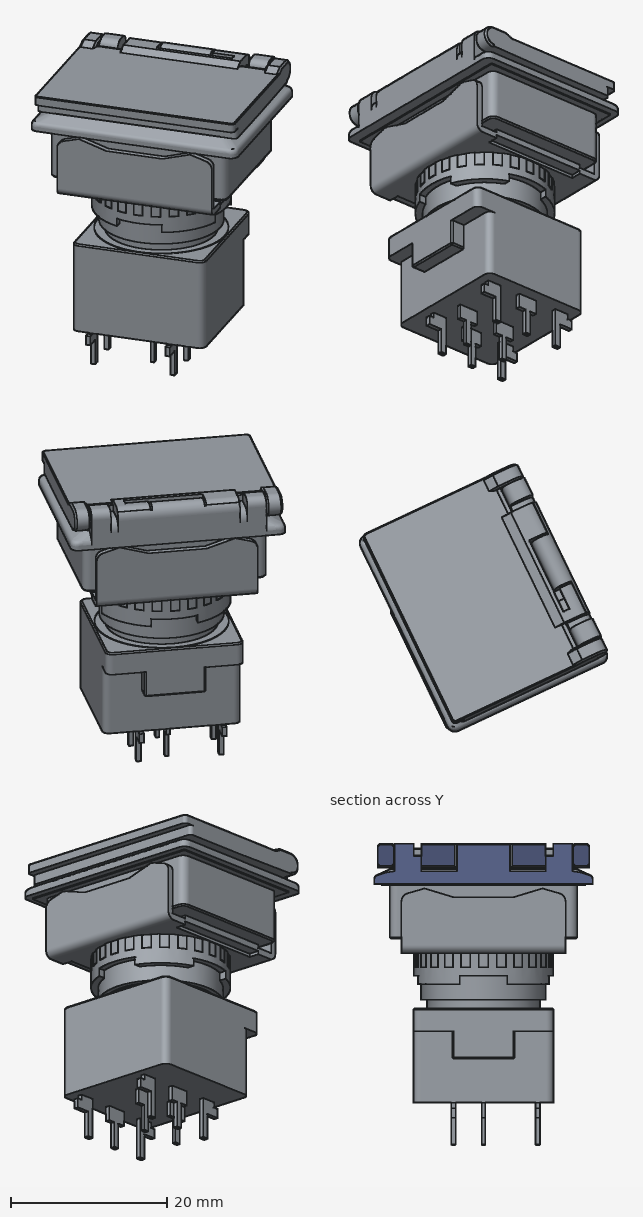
import cadquery as cq


BEZEL_X = 28.0
BEZEL_FRONT = -11.0
BEZEL_BACK = 11.5
BEZEL_CORNER = 1.0
BEZEL_EDGE = 1.0
BEZEL_TOP = 1.95
BEZEL_EDGE_ROUND = 0.6
SLOPE_INSET = 2.1
SLOPE_INSET_BACK = 1.4
GASKET_X = 26.0
GASKET_Y = 20.0
GASKET_THICK = 0.15
HEAD_X = 24.0
HEAD_Y = 18.0
HEAD_DEPTH = 7.0
HEAD_CORNER = 1.0
HEAD_EDGE = 0.2

HINGE_Y = 10.0
HINGE_Z = 3.7
HINGE_R = BEZEL_BACK - HINGE_Y
SIDE_KNUCKLE_IN = 8.9
SIDE_KNUCKLE_OUT = 11.4
MID_KNUCKLE_HALF = 3.4
SIDE_ROUND = 1.1
SIDE_FRONT = 8.3
MID_ROUND = 1.25
MID_FRONT = 8.7
BACK_WALL_THICK = 0.45
HINGE_FOOT = 0.5
HINGE_GAP = 0.05

COVER_X = 27.1
COVER_FRONT = -10.45
COVER_TOP = 4.6
COVER_LIP_Z = 3.4
COVER_LIP = 1.05
COVER_BOTTOM = 2.1
COVER_CORNER = 0.5
COVER_CHAMFER = 0.12
COVER_R = HINGE_R - HINGE_GAP
RAISED_FLAT_Y = 7.9
RAISED_FOOT_Y = 6.6
COVER_MID_HALF = 7.95
KNUCKLE_CHAMFER = 0.25
SIDE_OPENING_Y = 8.1
OPENING_STEP_Y = 7.55
OPENING_STEP_DEPTH = 0.15
MID_OPENING_HALF = 3.65
MID_OPENING_Y = HINGE_Y - HINGE_R - HINGE_GAP
LATCH_END = 6.6
LATCH_STEP = 5.0
LATCH_WIDTH = 0.85
LATCH_SHALLOW = 0.7
LATCH_DEEP = 0.8

BARREL_R = 8.0
COLLAR_R = 8.2
COLLAR_HEIGHT = 0.4
STEM_R = 7.25
BARREL_BOTTOM = -14.8
NUT_R = 8.93
NUT_SLOT_FLOOR_R = 8.85
NUT_TOP = -8.85
NUT_SLOT_BOTTOM = -10.65
KEY_NOTCH_TOP = -11.75
NUT_BOTTOM = -12.8
NUT_SLOTS = 24
NUT_SLOT_WIDTH = 1.2
KEY_NOTCHES = 4
KEY_NOTCH_WIDTH = 6.1

BRACKET_X = 21.0
BRACKET_Y = 20.6
SHEET = 0.85
BEND_R = 1.0
LEG_PEAK_X = 7.55
LEG_PEAK_Z = -0.55
LEG_DIP_X = 3.8
LEG_DIP_Z = -1.68
LEG_SHOULDER_Z = -1.4
LEG_CORNER = 1.1
TAB_Y = 14.0
TAB_X = 1.5
TAB_RISE = 0.45

BLOCK_SIDE = 17.95
BLOCK_TOP = -15.85
BLOCK_BOTTOM = -27.95
BLOCK_CORNER = 0.9
BLOCK_EDGE = 0.2
SEAT_R = 8.6
SEAT_DEPTH = 0.1
LEDGE_Z = -18.85
LEDGE_Y = 6.95
HOOK_BOTTOM = -22.35
HOOK_X = 8.0
HOOK_CHAMFER = 0.2

PIN_TIP = -33.4
PIN_SHOULDER = -29.9
PIN_EAR = -28.65
EAR = 0.7
SIDE_PIN_THICK = 0.6
MID_PIN_THICK = 0.5
LEFT_PIN_X = -6.95
RIGHT_PIN_X = 3.85
PIN_TIP_CHAMFER = 0.12
SIDE_PINS = [
    ((3.5, 5.6), (3.5, 4.35), EAR, 0),
    ((-2.4, 0.4), (-1.45, -0.7), 0, 0),
    ((-7.75, -5.65), (-6.5, -5.65), 0, EAR),
]
MID_PINS = [
    ((1.55, 4.35), (2.55, 3.4), 0, 0),
    ((-4.5, -1.7), (-3.4, -2.65), 0, 0),
]

PICK_BAND = 0.05


def box(x0, x1, y0, y1, z0, z1):
    return cq.Workplane("XY").box(x1 - x0, y1 - y0, z1 - z0, centered=False).translate((x0, y0, z0))


def disc(radius, z0, z1):
    return cq.Workplane("XY").workplane(offset=z0).circle(radius).extrude(z1 - z0)


def rounded_block(x_size, y_size, z0, z1, corner):
    block = cq.Workplane("XY").workplane(offset=z0).rect(x_size, y_size).extrude(z1 - z0)
    return block.edges("|Z").fillet(corner)


def hinge_cylinder(radius, x0, x1):
    return cq.Workplane("YZ").workplane(offset=x0).center(HINGE_Y, HINGE_Z).circle(radius).extrude(x1 - x0)


def height_band(z):
    """Selector for the edges centred at height z."""
    reach = BEZEL_X
    return cq.selectors.BoxSelector((-reach, -reach, z - PICK_BAND), (reach, reach, z + PICK_BAND))


def make_bezel():
    depth = BEZEL_BACK - BEZEL_FRONT
    mid_y = (BEZEL_BACK + BEZEL_FRONT) / 2
    rim = rounded_block(BEZEL_X, depth, 0, BEZEL_EDGE, BEZEL_CORNER).translate((0, mid_y, 0))
    top_y = depth - SLOPE_INSET - SLOPE_INSET_BACK
    top_shift = (SLOPE_INSET - SLOPE_INSET_BACK) / 2
    lower = cq.Sketch().rect(BEZEL_X, depth).vertices().fillet(BEZEL_CORNER)
    upper = cq.Sketch().rect(BEZEL_X - 2 * SLOPE_INSET, top_y).vertices().fillet(BEZEL_CORNER)
    border = (
        cq.Workplane("XY")
        .placeSketch(
            lower.moved(cq.Location(cq.Vector(0, mid_y, BEZEL_EDGE))),
            upper.moved(cq.Location(cq.Vector(0, mid_y + top_shift, BEZEL_TOP))),
        )
        .loft(ruled=True)
    )
    bezel = rim.union(border)
    return bezel.edges(height_band(BEZEL_EDGE)).fillet(BEZEL_EDGE_ROUND)


def frame_post(x0, x1, top, back_round, front_round, front_y):
    """Post at the back of the bezel with a rounded back and, if asked for, a rounded front."""
    post = box(x0, x1, front_y, BEZEL_BACK, HINGE_FOOT, top)
    post = post.edges("|X and >Z and >Y").fillet(back_round)
    if front_round > 0:
        post = post.edges("|X and >Z and <Y").fillet(front_round)
    return post


def make_frame_hinge():
    top = HINGE_Z + HINGE_R
    wall_y = BEZEL_BACK - BACK_WALL_THICK
    wall_span = (-COVER_MID_HALF, COVER_MID_HALF)
    wall = box(*wall_span, wall_y, BEZEL_BACK, HINGE_FOOT, HINGE_Z)
    wall_cap = box(*wall_span, wall_y, BEZEL_BACK, HINGE_Z, top)
    hinge = wall.union(wall_cap.intersect(hinge_cylinder(HINGE_R, *wall_span)))
    middle = frame_post(-MID_KNUCKLE_HALF, MID_KNUCKLE_HALF, top, HINGE_R, MID_ROUND, MID_FRONT)
    hinge = hinge.union(middle)
    side = frame_post(SIDE_KNUCKLE_IN, SIDE_KNUCKLE_OUT, top, SIDE_ROUND, SIDE_ROUND, SIDE_FRONT)
    low_link = frame_post(COVER_MID_HALF, SIDE_KNUCKLE_IN, HINGE_Z, HINGE_R, 0, SIDE_FRONT)
    for post in (side, low_link):
        hinge = hinge.union(post).union(post.mirror("YZ"))
    return hinge


def make_head():
    head = rounded_block(HEAD_X, HEAD_Y, -HEAD_DEPTH, 0, HEAD_CORNER)
    head = head.faces("<Z").edges().chamfer(HEAD_EDGE)
    gasket = box(-GASKET_X / 2, GASKET_X / 2, -GASKET_Y / 2, GASKET_Y / 2, -GASKET_THICK, 0)
    return head.union(gasket)


def make_barrel():
    collar_bottom = -HEAD_DEPTH - COLLAR_HEIGHT
    half_profile = [
        (0, -HEAD_DEPTH),
        (COLLAR_R, -HEAD_DEPTH),
        (BARREL_R, collar_bottom),
        (BARREL_R, BARREL_BOTTOM),
        (STEM_R, BARREL_BOTTOM),
        (STEM_R, BLOCK_TOP - SEAT_DEPTH),
        (0, BLOCK_TOP - SEAT_DEPTH),
    ]
    return cq.Workplane("XZ").polyline(half_profile).close().revolve(360, (0, 0, 0), (0, 1, 0))


def make_block():
    half = BLOCK_SIDE / 2
    upper = rounded_block(BLOCK_SIDE, BLOCK_SIDE, LEDGE_Z, BLOCK_TOP, BLOCK_CORNER)
    upper = upper.faces(">Z").edges().chamfer(BLOCK_EDGE)
    lower_y = LEDGE_Y + half
    lower = rounded_block(BLOCK_SIDE, lower_y, BLOCK_BOTTOM, LEDGE_Z, BLOCK_CORNER)
    block = upper.union(lower.translate((0, (LEDGE_Y - half) / 2, 0)))
    hook = box(-HOOK_X / 2, HOOK_X / 2, LEDGE_Y, half, HOOK_BOTTOM, LEDGE_Z)
    hook = hook.edges("(>Y or <Z) and (not >Z) and (not <Y)").chamfer(HOOK_CHAMFER)
    block = block.union(hook)
    return block.cut(disc(SEAT_R, BLOCK_TOP - SEAT_DEPTH, BLOCK_TOP))


def make_pin(x, thick, neck, leg, back_ear, front_ear):
    """Flat terminal: a neck, a shoulder widened by the ears, and a narrow leg."""
    x0 = x - thick / 2
    x1 = x + thick / 2
    pin = box(x0, x1, *neck, PIN_SHOULDER, BLOCK_BOTTOM)
    shoulder = box(x0, x1, neck[0] - front_ear, neck[1] + back_ear, PIN_SHOULDER, PIN_EAR)
    blade = box(x0, x1, *leg, PIN_TIP, PIN_SHOULDER).faces("<Z").edges().chamfer(PIN_TIP_CHAMFER)
    return pin.union(shoulder).union(blade)


def make_pins():
    pins = []
    for x in (LEFT_PIN_X, RIGHT_PIN_X):
        for shape in SIDE_PINS:
            pins.append(make_pin(x, SIDE_PIN_THICK, *shape))
    for shape in MID_PINS:
        pins.append(make_pin(0, MID_PIN_THICK, *shape))
    return pins


def make_switch_body():
    body = make_bezel().union(make_frame_hinge()).union(make_head())
    body = body.union(make_barrel()).union(make_block())
    for pin in make_pins():
        body = body.union(pin)
    return body


def make_cover_plate():
    side_profile = [
        (COVER_FRONT, COVER_LIP_Z),
        (COVER_FRONT, COVER_TOP),
        (HINGE_Y, COVER_TOP),
        (HINGE_Y, HINGE_Z - COVER_R),
        (0, COVER_BOTTOM),
        (COVER_FRONT + COVER_LIP, COVER_BOTTOM),
        (COVER_FRONT + COVER_LIP, COVER_LIP_Z),
    ]
    half = COVER_X / 2
    plate = cq.Workplane("YZ").workplane(offset=-half).polyline(side_profile).close().extrude(COVER_X)
    plate = plate.edges("|Z and (not >Y)").fillet(COVER_CORNER)
    return plate.faces(">Z").edges("not >Y").chamfer(COVER_CHAMFER)


def make_cover_knuckle(x0, x1):
    return (
        cq.Workplane("YZ")
        .workplane(offset=x0)
        .moveTo(HINGE_Y, HINGE_Z - COVER_R)
        .threePointArc((HINGE_Y + COVER_R, HINGE_Z), (HINGE_Y, HINGE_Z + COVER_R))
        .lineTo(RAISED_FLAT_Y, HINGE_Z + COVER_R)
        .lineTo(RAISED_FOOT_Y, COVER_TOP)
        .lineTo(RAISED_FOOT_Y, HINGE_Z - COVER_R)
        .close()
        .extrude(x1 - x0)
    )


def make_latch_slot():
    top = HINGE_Z + HINGE_R
    y0 = MID_OPENING_Y
    y1 = MID_OPENING_Y + LATCH_WIDTH
    shallow = box(MID_OPENING_HALF, LATCH_END, y0, y1, top - LATCH_SHALLOW, top)
    deep = box(MID_OPENING_HALF, LATCH_STEP, y0, y1, top - LATCH_DEEP, top)
    return shallow.union(deep)


def make_cover():
    cover = make_cover_plate()
    low = BEZEL_TOP
    high = HINGE_Z + HINGE_R
    step_z = COVER_TOP - OPENING_STEP_DEPTH
    knuckle_in = SIDE_KNUCKLE_OUT + HINGE_GAP
    for x0, x1 in [(-knuckle_in, -COVER_MID_HALF), (COVER_MID_HALF, knuckle_in)]:
        cover = cover.cut(box(x0, x1, SIDE_OPENING_Y, BEZEL_BACK, low, high))
        cover = cover.cut(box(x0, x1, OPENING_STEP_Y, BEZEL_BACK, step_z, high))
    end = COVER_X / 2
    for x0, x1 in [(-end, -knuckle_in), (knuckle_in, end)]:
        cover = cover.union(make_cover_knuckle(x0, x1).faces("|X").edges().chamfer(KNUCKLE_CHAMFER))
    middle = make_cover_knuckle(-COVER_MID_HALF, COVER_MID_HALF)
    wall_y = BEZEL_BACK - BACK_WALL_THICK - HINGE_GAP
    behind = box(-COVER_MID_HALF, COVER_MID_HALF, wall_y, BEZEL_BACK, low, high)
    cover = cover.union(middle.cut(behind))
    cover = cover.cut(box(-MID_OPENING_HALF, MID_OPENING_HALF, MID_OPENING_Y, BEZEL_BACK, low, high))
    return cover.cut(make_latch_slot())


def make_bracket():
    half_x = BRACKET_X / 2
    half_y = BRACKET_Y / 2
    base_top = NUT_TOP + SHEET
    channel = box(-half_x, half_x, -half_y, half_y, NUT_TOP, LEG_PEAK_Z).edges("|X and <Z").fillet(BEND_R)
    inside_y = half_y - SHEET
    channel = channel.cut(box(-half_x, half_x, -inside_y, inside_y, base_top, LEG_PEAK_Z))
    leg_outline = [
        (-half_x, NUT_TOP),
        (-half_x, LEG_SHOULDER_Z),
        (-LEG_PEAK_X, LEG_PEAK_Z),
        (-LEG_DIP_X, LEG_DIP_Z),
        (LEG_DIP_X, LEG_DIP_Z),
        (LEG_PEAK_X, LEG_PEAK_Z),
        (half_x, LEG_SHOULDER_Z),
        (half_x, NUT_TOP),
    ]
    trim = cq.Workplane("XZ").polyline(leg_outline).close().extrude(half_y, both=True)
    trim = trim.edges("|Y").edges(height_band(LEG_SHOULDER_Z)).fillet(LEG_CORNER)
    bracket = channel.intersect(trim)
    for x0, x1 in [(-half_x, TAB_X - half_x), (half_x - TAB_X, half_x)]:
        raised = box(x0, x1, -TAB_Y / 2, TAB_Y / 2, base_top, base_top + TAB_RISE)
        relief = box(x0, x1, -TAB_Y / 2, TAB_Y / 2, NUT_TOP, NUT_TOP + TAB_RISE)
        bracket = bracket.union(raised).cut(relief)
    return bracket.cut(disc(BARREL_R, NUT_TOP, base_top + TAB_RISE))


def make_lock_nut():
    nut = disc(NUT_R, NUT_BOTTOM, NUT_TOP).cut(disc(BARREL_R, NUT_BOTTOM, NUT_TOP))
    slot_floor = disc(NUT_SLOT_FLOOR_R, NUT_SLOT_BOTTOM, NUT_TOP)
    half_slot = NUT_SLOT_WIDTH / 2
    slot = box(0, NUT_R, -half_slot, half_slot, NUT_SLOT_BOTTOM, NUT_TOP).cut(slot_floor)
    for i in range(NUT_SLOTS):
        nut = nut.cut(slot.rotate((0, 0, 0), (0, 0, 1), i * 360 / NUT_SLOTS))
    half_notch = KEY_NOTCH_WIDTH / 2
    notch = box(0, NUT_R, -half_notch, half_notch, NUT_BOTTOM, KEY_NOTCH_TOP)
    for i in range(KEY_NOTCHES):
        nut = nut.cut(notch.rotate((0, 0, 0), (0, 0, 1), i * 360 / KEY_NOTCHES))
    return nut


switch_body = make_switch_body()
flip_cover = make_cover()
bracket = make_bracket()
lock_nut = make_lock_nut()

result = cq.Compound.makeCompound(
    [switch_body.val(), flip_cover.val(), bracket.val(), lock_nut.val()]
)